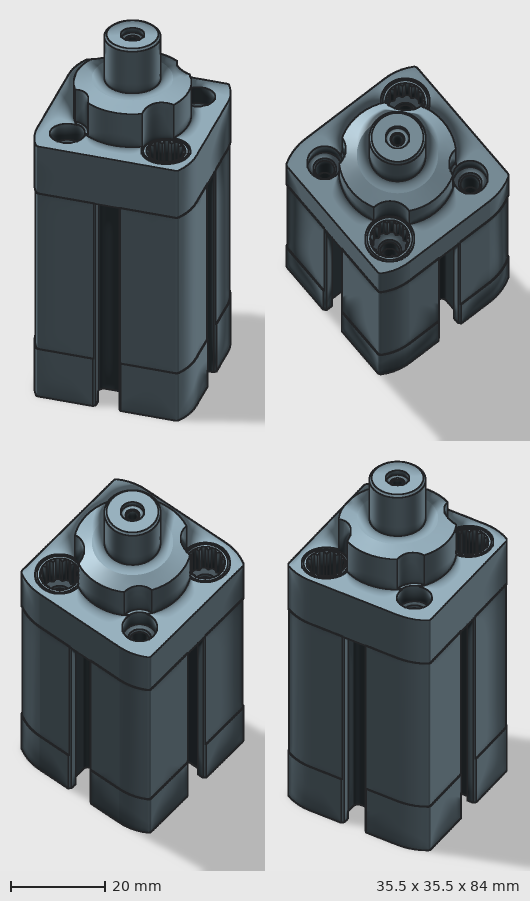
import cadquery as cq
import math

OVERALL_HEIGHT = 84.0
SIDE = 35.5
REAR_CAP_HEIGHT = 12.0
BEARING_CAP_HEIGHT = 12.0
CAP_TOP = 63.5
COLLAR_TOP = 72.9

CORNER_ARC_START = 10.9
CORNER_ARC_RADIUS = 12.6
CORNER_ROUND = 0.8
PROFILE_INSET = 0.2

SLOT_MOUTH = 5.2
SLOT_CHAMFER = 0.5
SLOT_LIP_DEPTH = 2.0
SLOT_CAVITY_WIDTH = 7.7
SLOT_FLOOR_ROUND = 1.3
SLOT_FLOOR_DEPTH = 7.2
SLOT_OVERCUT = 0.8

COLLAR_DIAMETER = 25.0
COLLAR_FLAT_DIAMETER = 17.3
COLLAR_CONE_HEIGHT = 1.0

HOLE_SPACING = 22.0
BORE_DIAMETER = 4.1
BORE_CHAMFER = 0.4
COUNTERBORE_DIAMETER = 7.5
COUNTERBORE_DEPTH = 4.1
RELIEF_DIAMETER = 9.0
RELIEF_LEDGE = 0.25

HEAD_DIAMETER = 10.5
HEAD_SINK = 0.1
HEAD_CHAMFER = 0.46
SOCKET_POINTS = 12
SOCKET_DIAMETER = 8.4
SOCKET_ROOT_DIAMETER = 7.4
SOCKET_POINT_HALF_ANGLE = 5.5
SOCKET_CHAMFER = 0.4
SOCKET_DEPTH = 7.6

ROD_DIAMETER = 12.0
ROD_CHAMFER = 0.5
ROD_RECESS_DIAMETER = 5.0
ROD_RECESS_DEPTH = 1.3
ROD_HOLE_DIAMETER = 2.5
ROD_HOLE_CHAMFER = 0.25
ROD_HOLE_DEPTH = 7.6
DRILL_TIP_ANGLE = 118.0

SEAM = CAP_TOP - BEARING_CAP_HEIGHT
HALF_SPACING = HOLE_SPACING / 2
COUNTERBORE_CORNERS = [(HALF_SPACING, HALF_SPACING), (-HALF_SPACING, -HALF_SPACING)]
SCREW_CORNERS = [(-HALF_SPACING, HALF_SPACING), (HALF_SPACING, -HALF_SPACING)]
ALL_CORNERS = COUNTERBORE_CORNERS + SCREW_CORNERS


def cylinder(diameter, bottom, top, points=((0, 0),)):
    """Upright cylinders between two heights."""
    plane = cq.Workplane("XY", origin=(0, 0, bottom))
    return plane.pushPoints(points).circle(diameter / 2).extrude(top - bottom)


def countersink(top_diameter, depth, top):
    """45-degree cone that narrows downwards from the given height."""
    radius = top_diameter / 2
    profile = [(0, top), (radius, top), (radius - depth, top - depth), (0, top - depth)]
    return cq.Workplane("XZ").polyline(profile).close().revolve(360, (0, 0), (0, 1))


def at_points(shape, points):
    """Copies of a shape moved to several places in the XY plane."""
    return [shape.translate((x, y, 0)) for x, y in points]


def footprint_block(bottom, top, inset=0.0):
    """Prism with the rounded-square footprint, optionally reduced all round."""
    half = SIDE / 2 - inset
    radius = CORNER_ARC_RADIUS - inset
    center_x = half - radius
    end_angle = math.asin((half - CORNER_ARC_START) / radius)

    def arc_point(angle, x_sign, y_sign):
        x = center_x + radius * math.cos(angle)
        y = CORNER_ARC_START + radius * math.sin(angle)
        return (x_sign * x, y_sign * y)

    def corner(x_sign, y_sign):
        return [arc_point(end_angle * step, x_sign, y_sign) for step in (0, 0.5, 1)]

    right_top = corner(1, 1)
    left_top = corner(-1, 1)[::-1]
    left_bottom = corner(-1, -1)
    right_bottom = corner(1, -1)[::-1]

    outline = cq.Workplane("XY", origin=(0, 0, bottom)).moveTo(*right_top[0])
    outline = outline.threePointArc(*right_top[1:])
    for start, middle, end in (left_top, left_bottom, right_bottom):
        outline = outline.lineTo(*start).threePointArc(middle, end)
    block = outline.close().extrude(top - bottom)
    y_face_edges = block.faces("<Y or >Y").edges("|Z")
    return y_face_edges.fillet(CORNER_ROUND)


def slot_cutter():
    """T-slot on the -Y face, from the bottom of the barrel up to the bearing cap."""
    face = -SIDE / 2
    mouth = SLOT_MOUTH / 2
    cavity = SLOT_CAVITY_WIDTH / 2
    half_profile = [
        (mouth + SLOT_CHAMFER, face - SLOT_OVERCUT),
        (mouth + SLOT_CHAMFER, face),
        (mouth, face + SLOT_CHAMFER),
        (mouth, face + SLOT_LIP_DEPTH),
        (cavity, face + SLOT_LIP_DEPTH),
        (cavity, face + SLOT_FLOOR_DEPTH),
    ]
    mirrored = [(-x, y) for x, y in reversed(half_profile)]
    cutter = cq.Workplane("XY").polyline(half_profile + mirrored).close().extrude(SEAM)
    return cutter.faces(">Y").edges("|Z").fillet(SLOT_FLOOR_ROUND)


def make_barrel():
    """Profile barrel with its rear cap, four sensor slots and four through bores."""
    barrel = footprint_block(0, REAR_CAP_HEIGHT)
    barrel = barrel.union(footprint_block(REAR_CAP_HEIGHT, SEAM, PROFILE_INSET))
    slot = slot_cutter()
    for angle in (0, 90, 180, 270):
        barrel = barrel.cut(slot.rotate((0, 0, 0), (0, 0, 1), angle))
    return barrel.cut(cylinder(BORE_DIAMETER, 0, SEAM, ALL_CORNERS))


def make_collar():
    """Guide collar with a conical shoulder."""
    radius = COLLAR_DIAMETER / 2
    shoulder = COLLAR_TOP - COLLAR_CONE_HEIGHT
    profile = [
        (0, CAP_TOP),
        (radius, CAP_TOP),
        (radius, shoulder),
        (COLLAR_FLAT_DIAMETER / 2, COLLAR_TOP),
        (0, COLLAR_TOP),
    ]
    return cq.Workplane("XZ").polyline(profile).close().revolve(360, (0, 0), (0, 1))


def socket_cutter(floor, top):
    """Prism with a ring of blunt points, the first centred half a pitch from the X axis."""
    pitch = 360 / SOCKET_POINTS
    outline = []
    for index in range(SOCKET_POINTS):
        root_angle = index * pitch
        point_angle = root_angle + pitch / 2
        corners = (
            (SOCKET_ROOT_DIAMETER / 2, root_angle),
            (SOCKET_DIAMETER / 2, point_angle - SOCKET_POINT_HALF_ANGLE),
            (SOCKET_DIAMETER / 2, point_angle + SOCKET_POINT_HALF_ANGLE),
        )
        for radius, degrees in corners:
            angle = math.radians(degrees)
            outline.append((radius * math.cos(angle), radius * math.sin(angle)))
    return cq.Workplane("XY", origin=(0, 0, floor)).polyline(outline).close().extrude(top - floor)


def make_screw_head():
    """Chamfered head with a multi-point socket, centred on the Z axis."""
    top = CAP_TOP - HEAD_SINK
    floor = top - SOCKET_DEPTH
    head = cylinder(HEAD_DIAMETER, floor, top).faces(">Z").edges().chamfer(HEAD_CHAMFER)
    return head.cut(socket_cutter(floor, top)).cut(countersink(SOCKET_DIAMETER, SOCKET_CHAMFER, top))


def make_bearing_cap():
    """Cap with the guide collar, two counterbored holes and two sunk screw heads."""
    cap = footprint_block(SEAM, CAP_TOP).union(make_collar())
    cap = cap.cut(cylinder(RELIEF_DIAMETER, CAP_TOP + RELIEF_LEDGE, COLLAR_TOP, COUNTERBORE_CORNERS))
    counterbore_floor = CAP_TOP - COUNTERBORE_DEPTH
    cap = cap.cut(cylinder(COUNTERBORE_DIAMETER, counterbore_floor, COLLAR_TOP, COUNTERBORE_CORNERS))

    socket_floor = CAP_TOP - HEAD_SINK - SOCKET_DEPTH
    cap = cap.cut(cylinder(HEAD_DIAMETER, socket_floor, COLLAR_TOP, SCREW_CORNERS))
    for head in at_points(make_screw_head(), SCREW_CORNERS):
        cap = cap.union(head)

    cap = cap.cut(cylinder(BORE_DIAMETER, SEAM, CAP_TOP, ALL_CORNERS))
    bore_mouths = ((counterbore_floor, COUNTERBORE_CORNERS), (socket_floor, SCREW_CORNERS))
    for floor, corners in bore_mouths:
        mouth = countersink(BORE_DIAMETER + 2 * BORE_CHAMFER, BORE_CHAMFER, floor)
        for cutter in at_points(mouth, corners):
            cap = cap.cut(cutter)
    return cap.cut(cylinder(ROD_DIAMETER, SEAM, COLLAR_TOP))


def make_rod():
    """Rod through the bearing cap, with a recessed drilled hole in its end."""
    rod = cylinder(ROD_DIAMETER, SEAM, OVERALL_HEIGHT).faces(">Z").edges().chamfer(ROD_CHAMFER)
    recess_floor = OVERALL_HEIGHT - ROD_RECESS_DEPTH
    hole_floor = recess_floor - ROD_HOLE_DEPTH
    hole_radius = ROD_HOLE_DIAMETER / 2
    mouth_radius = hole_radius + ROD_HOLE_CHAMFER
    recess_radius = ROD_RECESS_DIAMETER / 2
    tip_length = hole_radius / math.tan(math.radians(DRILL_TIP_ANGLE / 2))
    hole_profile = [
        (0, OVERALL_HEIGHT),
        (recess_radius, OVERALL_HEIGHT),
        (recess_radius, recess_floor),
        (mouth_radius, recess_floor),
        (hole_radius, recess_floor - ROD_HOLE_CHAMFER),
        (hole_radius, hole_floor),
        (0, hole_floor - tip_length),
    ]
    hole = cq.Workplane("XZ").polyline(hole_profile).close().revolve(360, (0, 0), (0, 1))
    return rod.cut(hole)


barrel = make_barrel()
bearing_cap = make_bearing_cap()
rod = make_rod()

result = cq.Compound.makeCompound([body.solids().val() for body in (barrel, bearing_cap, rod)])